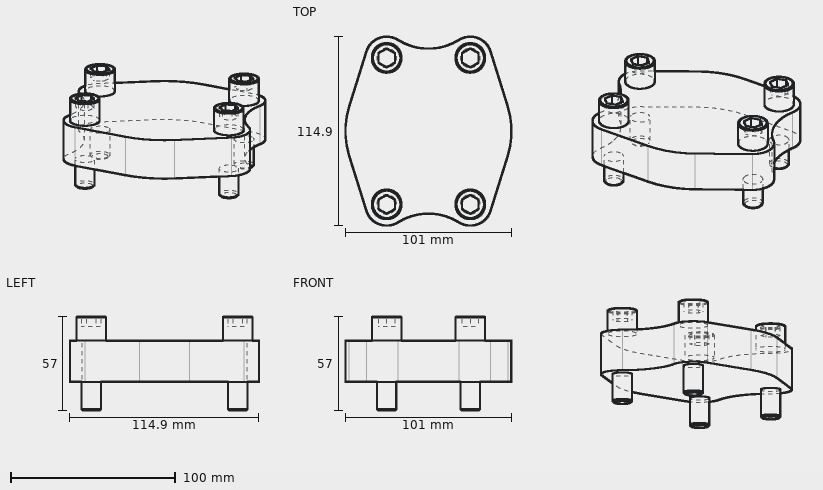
import cadquery as cq
import math

plate_length = 114.9
plate_thickness = 25.0
plate_width = 101.0
side_radius = plate_width / 2
corner_radius = 13.0
waist_radius = 34.7

screw_spacing_x = 50.8
screw_spacing_y = plate_length - 2 * corner_radius
head_diameter = 18.0
head_height = 14.5
head_chamfer_height = 0.5
head_chamfer_width = 0.7
shank_diameter = 12.0
shank_length = 17.5
tip_chamfer = 1.0
socket_across_flats = 10.0
socket_depth = 6.0

lobe_x = screw_spacing_x / 2
lobe_y = screw_spacing_y / 2


def make_plate():
    """Rounded side arcs, straight flanks, corner lobes and concave ends, all tangent."""
    lobe_direction = math.atan2(lobe_y, lobe_x)
    lobe_distance = math.hypot(lobe_x, lobe_y)
    flank_angle = lobe_direction - math.acos((side_radius - corner_radius) / lobe_distance)
    flank_cos = math.cos(flank_angle)
    flank_sin = math.sin(flank_angle)
    side_x = side_radius * flank_cos
    side_y = side_radius * flank_sin
    flank_x = lobe_x + corner_radius * flank_cos
    flank_y = lobe_y + corner_radius * flank_sin

    centre_gap = waist_radius + corner_radius
    waist_rise = math.sqrt(centre_gap**2 - lobe_x**2)
    waist_bottom = lobe_y + waist_rise - waist_radius
    waist_x = lobe_x * waist_radius / centre_gap
    waist_y = lobe_y + waist_rise * corner_radius / centre_gap

    lobe_top = lobe_y + corner_radius
    outline = (
        cq.Workplane("XY")
        .moveTo(side_x, -side_y)
        .threePointArc((side_radius, 0), (side_x, side_y))
        .lineTo(flank_x, flank_y)
        .threePointArc((lobe_x, lobe_top), (waist_x, waist_y))
        .threePointArc((0, waist_bottom), (-waist_x, waist_y))
        .threePointArc((-lobe_x, lobe_top), (-flank_x, flank_y))
        .lineTo(-side_x, side_y)
        .threePointArc((-side_radius, 0), (-side_x, -side_y))
        .lineTo(-flank_x, -flank_y)
        .threePointArc((-lobe_x, -lobe_top), (-waist_x, -waist_y))
        .threePointArc((0, -waist_bottom), (waist_x, -waist_y))
        .threePointArc((lobe_x, -lobe_top), (flank_x, -flank_y))
        .close()
    )
    return outline.extrude(plate_thickness)


def make_screw():
    """Socket head screw: head on top of the plate, shank through and below it."""
    head = (
        cq.Workplane("XY", origin=(0, 0, plate_thickness))
        .circle(head_diameter / 2)
        .extrude(head_height)
        .faces(">Z")
        .chamfer(head_chamfer_height, head_chamfer_width)
    )
    shank = (
        cq.Workplane("XY", origin=(0, 0, -shank_length))
        .circle(shank_diameter / 2)
        .extrude(shank_length + plate_thickness)
        .faces("<Z")
        .chamfer(tip_chamfer)
    )
    socket_across_corners = socket_across_flats / math.cos(math.pi / 6)
    socket = (
        cq.Workplane("XY", origin=(0, 0, plate_thickness + head_height))
        .transformed(rotate=(0, 0, 90))
        .polygon(6, socket_across_corners)
        .extrude(-socket_depth)
    )
    return head.union(shank).cut(socket)


result = make_plate()
screw = make_screw()
for x in (-lobe_x, lobe_x):
    for y in (-lobe_y, lobe_y):
        result = result.union(screw.translate((x, y, 0)))